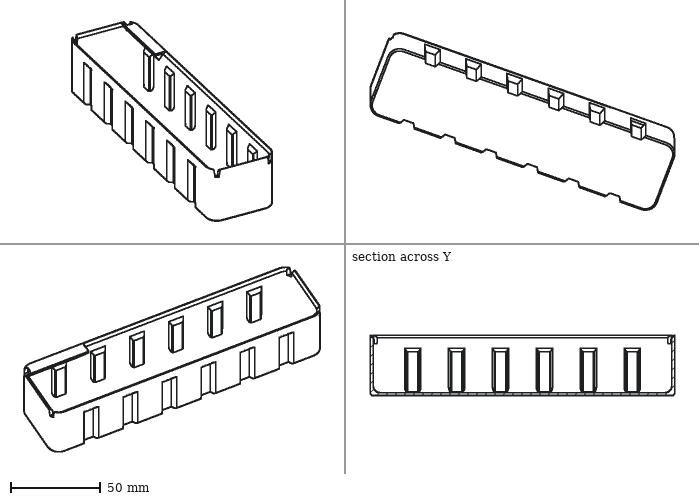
import cadquery as cq
import math

length = 170.5
width = 41.3
height = 33.8
corner_radius = 7.0
base_chamfer = 1.0

wall = 1.9
floor = 1.7
floor_fillet = 3.5
lip_land = 0.3
inner_radius = corner_radius - wall

rib_count = 6
rib_pitch = 24.5
rib_width = 9.2
rib_depth = 3.0
rib_top_drop = 6.6
rib_flank_angle = 60.0
rib_skin = 0.94

tab_length = 39.9
tab_depth = 7.0
tab_thickness = 1.2
tab_brace_height = 6.8
tab_end_slope = 5.1

notch_reach = 4.0
notch_depth = 4.8
notch_top_width = 3.2
notch_bottom_width = 1.9
notch_inset = 4.0


def rounded_block(size_x, size_y, size_z, radius, base_z):
    block = cq.Workplane("XY").box(size_x, size_y, size_z, centered=(True, True, False))
    return block.edges("|Z").fillet(radius).translate((0, 0, base_z))


def cavity():
    inner = rounded_block(length - 2 * wall, width - 2 * wall, height - floor, inner_radius, floor)
    return inner.faces("<Z").edges().fillet(floor_fillet)


def rim_bevel():
    bevel = wall - lip_land
    cutter = rounded_block(
        length - 2 * lip_land, width - 2 * lip_land, 2 * bevel, inner_radius + bevel, height - bevel
    )
    return cutter.faces("<Z").edges().chamfer(bevel)


def tapered_rib(skin, base_z):
    """Bar growing in +Y from the -Y outer face: sloped flanks, a 45 degree top, grown all round by skin."""
    outer_y = -width / 2
    flank = math.radians(rib_flank_angle)
    tip_half = rib_width / 2 - rib_depth / math.tan(flank)
    flank_end = (tip_half + skin * math.sin(flank), rib_depth + skin * math.cos(flank))
    base_half = rib_width / 2 + skin / math.sin(flank)
    half_outline = [(base_half, 0), flank_end]
    if skin > 0:
        half_outline.append((tip_half, rib_depth + skin))
    other_half = [(-x, y) for x, y in reversed(half_outline)]
    top_z = height - rib_top_drop + skin * math.sqrt(2)
    tip_y = outer_y + rib_depth + skin

    bar = (
        cq.Workplane("XY", origin=(0, outer_y, base_z))
        .polyline(half_outline + other_half)
        .close()
        .extrude(top_z - base_z)
    )
    side = (
        cq.Workplane("YZ", origin=(-base_half, 0, 0))
        .polyline([
            (outer_y, base_z),
            (outer_y, top_z),
            (tip_y, top_z - rib_depth - skin),
            (tip_y, base_z),
        ])
        .close()
        .extrude(2 * base_half)
    )
    return bar.intersect(side)


def on_both_long_walls(rib):
    mirrored = rib.mirror("XZ")
    copies = cq.Workplane("XY")
    for i in range(rib_count):
        x = (i - (rib_count - 1) / 2) * rib_pitch
        copies = copies.add(rib.translate((x, 0, 0))).add(mirrored.translate((x, 0, 0)))
    return copies.combine()


def label_tab():
    front_y = width / 2 - tab_depth
    lip_z = height - tab_thickness
    brace_z = lip_z - tab_brace_height
    tab = (
        cq.Workplane("YZ", origin=(-length / 2, 0, 0))
        .polyline([
            (front_y, height),
            (width / 2, height),
            (width / 2, brace_z),
            (width / 2 - wall, brace_z),
            (front_y, lip_z),
        ])
        .close()
        .extrude(tab_length)
    )
    end_x = -length / 2 + tab_length
    end_cut = (
        cq.Workplane("XZ", origin=(0, width / 2, 0))
        .polyline([(end_x, lip_z), (end_x, brace_z), (end_x - tab_end_slope, brace_z)])
        .close()
        .extrude(tab_depth)
    )
    envelope = rounded_block(length, width, height, corner_radius, 0)
    return tab.cut(end_cut).intersect(envelope)


def corner_notches():
    center_y = width / 2 - notch_inset
    notch = (
        cq.Workplane("YZ", origin=(-length / 2, 0, 0))
        .polyline([
            (center_y - notch_top_width / 2, height),
            (center_y + notch_top_width / 2, height),
            (center_y + notch_bottom_width / 2, height - notch_depth),
            (center_y - notch_bottom_width / 2, height - notch_depth),
        ])
        .close()
        .extrude(notch_reach)
    )
    pair = notch.union(notch.mirror("XZ"))
    return pair.union(pair.mirror("YZ"))


body = rounded_block(length, width, height, corner_radius, 0).faces("<Z").edges().chamfer(base_chamfer)
body = body.cut(cavity()).cut(rim_bevel())

bump = tapered_rib(rib_skin, base_chamfer)
recess = tapered_rib(0, 0)
body = body.union(on_both_long_walls(bump)).cut(on_both_long_walls(recess))

result = body.union(label_tab()).cut(corner_notches())